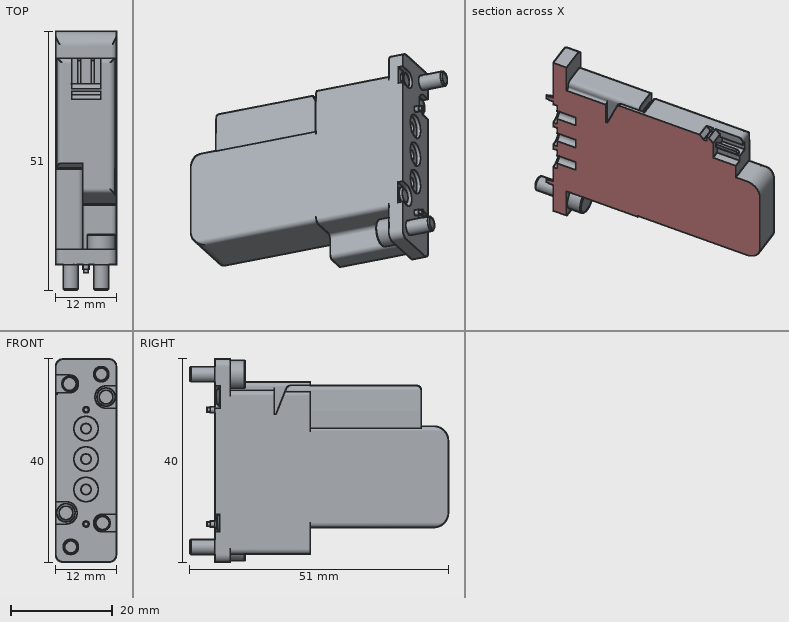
import cadquery as cq

WIDTH = 12.0
HALF_WIDTH = WIDTH / 2
FLANGE_HEIGHT = 40.0
FLANGE_THICKNESS = 3.0
FLANGE_CORNER_RADIUS = 1.5

EDGE_RADIUS = 1.0
BODY_END_Y = 46.0
BODY_TOP_Z = 6.8
BODY_BOTTOM_Z = -13.2
BODY_END_RADIUS = 3.0
SHOULDER_END_Y = 18.8
SHOULDER_LEFT_TOP_Z = 15.5
SHOULDER_RIGHT_TOP_Z = 13.8
SHOULDER_LEFT_BOTTOM_Z = -13.4
SHOULDER_RIGHT_BOTTOM_Z = -18.4
STEP_X = 0.6
STEP_ROOT_RADIUS = 0.4
LOWER_ROOT_RADIUS = 0.9

PLUG_TOP_Z = 14.8
PLUG_EDGE_RADIUS = 1.0
PLUG_END_Y = 40.65
PLUG_RIGHT_START_Y = 12.0
PLUG_TAPER_Z = 9.8
PLUG_HALF_WIDTH = 5.8
PLUG_HALF_WIDTH_TOP = 5.6
PLUG_SLOPE_RUN = 2.3
PLUG_SLOPE_FOOT_Z = 9.1
PLUG_LEFT_BEVEL_RUN = 0.9
PLUG_LEFT_BEVEL_DROP = 1.5
PLUG_GAP = 0.3
PLUG_LEFT_START_Y = SHOULDER_END_Y + PLUG_GAP
PLUG_NECK_HALF_WIDTH = 5.0

LATCH_WIDTH = 5.7
LATCH_LIP_BOTTOM_Z = 13.1
LATCH_UNDERCUT_WIDTH = 7.4
LATCH_FLOOR_Z = 11.2
LATCH_CHANNEL_FLOOR_Z = 9.9
LATCH_BAR_BACK_Y = 35.6
LATCH_BAR_TOP_BACK_Y = 34.6
LATCH_BAR_FRONT_Y = 34.1
LATCH_POCKET_FLOOR_Y = 33.5
LATCH_POCKET_START_Y = 32.6
LATCH_SLOPE_DROP = 1.0
PRONG_X = 1.3
PRONG_WIDTH = 0.6
PRONG_TOP_Z = 12.65
PRONG_THICKNESS = 0.7
PRONG_END_Y = 40.5
PRONG_TIP_CHAMFER = 0.4

SCREW_X = 3.0
SCREW_Z = 17.0
SCREW_DIAMETER = 3.0
SCREW_TIP_Y = -5.0
SCREW_TIP_CHAMFER = 0.3
SCREW_HEAD_DIAMETER = 5.5
SCREW_HEAD_END_Y = 6.0
SCREW_HEAD_CHAMFER = 0.2

PIN_Z = (10.0, -12.5)
PIN_DIAMETER = 1.2
PIN_SHOULDER_Y = -0.9
PIN_TIP_Y = -1.6
PIN_TIP_DIAMETER = 0.9

SOCKET_MIDDLE_Z = 0.3
SOCKET_PITCH = 6.0
SOCKET_RECESS_DIAMETER = 4.8
SOCKET_RECESS_DEPTH = 0.8
SOCKET_BORE_DIAMETER = 2.0
SOCKET_BORE_DEPTH = 5.0

SMALL_SLOTS = ((-1, 3.25, 15.1), (1, 3.25, -12.3))
SMALL_SLOT_WIDTH = 3.5
SMALL_SLOT_DEPTH = 1.0
SMALL_STUD_DIAMETER = 3.0
SMALL_STUD_CHAMFER = 0.2
SMALL_STUD_FACE_Y = 0.4
LARGE_SLOTS = ((1, 3.95, 12.5), (-1, 3.95, -10.3))
LARGE_SLOT_WIDTH = 4.4
LARGE_SLOT_DEPTH = 1.1
LARGE_STUD_DIAMETER = 3.6
LARGE_STUD_CHAMFER = 0.45
LARGE_STUD_FACE_Y = 0.4


def box(x0, x1, y0, y1, z0, z1):
    """Axis-aligned box between the given limits."""
    return cq.Workplane("XY").box(x1 - x0, y1 - y0, z1 - z0, centered=False).translate((x0, y0, z0))


def cylinder(x, z, diameter, y0, y1):
    """Cylinder along Y from y0 to y1 (y0 < y1)."""
    return cq.Workplane("XZ", origin=(x, y0, z)).circle(diameter / 2).extrude(-(y1 - y0))


def make_flange():
    plate = box(-HALF_WIDTH, HALF_WIDTH, 0, FLANGE_THICKNESS, -FLANGE_HEIGHT / 2, FLANGE_HEIGHT / 2)
    return plate.edges("|Y").fillet(FLANGE_CORNER_RADIUS)


def make_body():
    """Long flat body; its rounded end runs straight across the width."""
    limits = (FLANGE_THICKNESS, BODY_END_Y, BODY_BOTTOM_Z, BODY_TOP_Z)
    rounded_edges = box(-HALF_WIDTH, HALF_WIDTH, *limits).edges("|Y").fillet(EDGE_RADIUS)
    rounded_end = box(-HALF_WIDTH, HALF_WIDTH, *limits).edges(">Y and |X").fillet(BODY_END_RADIUS)
    return rounded_edges.intersect(rounded_end)


def make_shoulder():
    """Stepped block behind the flange: high on the left, low on the right."""
    outline = [
        (-HALF_WIDTH, SHOULDER_LEFT_TOP_Z),
        (-STEP_X, SHOULDER_LEFT_TOP_Z),
        (-STEP_X, SHOULDER_RIGHT_TOP_Z),
        (HALF_WIDTH, SHOULDER_RIGHT_TOP_Z),
        (HALF_WIDTH, SHOULDER_RIGHT_BOTTOM_Z),
        (STEP_X, SHOULDER_RIGHT_BOTTOM_Z),
        (STEP_X, SHOULDER_LEFT_BOTTOM_Z),
        (-HALF_WIDTH, SHOULDER_LEFT_BOTTOM_Z),
    ]
    length = SHOULDER_END_Y - FLANGE_THICKNESS
    block = cq.Workplane("XZ", origin=(0, FLANGE_THICKNESS, 0)).polyline(outline).close().extrude(-length)

    def edge_at(x, z):
        return cq.selectors.NearestToPointSelector((x, FLANGE_THICKNESS + length / 2, z))

    block = block.edges("|Y").edges(edge_at(-STEP_X, SHOULDER_RIGHT_TOP_Z)).fillet(STEP_ROOT_RADIUS)
    block = block.edges("|Y").edges(edge_at(STEP_X, SHOULDER_LEFT_BOTTOM_Z)).fillet(LOWER_ROOT_RADIUS)
    outer_corners = outline[:2] + outline[3:6] + outline[7:]
    for x, z in outer_corners:
        block = block.edges("|Y").edges(edge_at(x, z)).fillet(EDGE_RADIUS)
    return block.cut(make_front_gap())


def make_front_gap():
    """Space in the right half of the shoulder in front of the sloped plug face."""
    side = [
        (PLUG_RIGHT_START_Y - PLUG_GAP, PLUG_SLOPE_FOOT_Z),
        (PLUG_RIGHT_START_Y, PLUG_SLOPE_FOOT_Z),
        (PLUG_RIGHT_START_Y + PLUG_SLOPE_RUN, PLUG_TOP_Z),
        (PLUG_RIGHT_START_Y - PLUG_GAP, PLUG_TOP_Z),
    ]
    gap = cq.Workplane("YZ", origin=(-STEP_X, 0, 0)).polyline(side).close()
    return gap.extrude(HALF_WIDTH + STEP_X)


def make_plug():
    """Tapered plug; its front starts further back on the left half."""
    base_z = BODY_TOP_Z - EDGE_RADIUS
    section = [
        (-PLUG_HALF_WIDTH, base_z),
        (-PLUG_HALF_WIDTH, PLUG_TAPER_Z),
        (-PLUG_HALF_WIDTH_TOP, PLUG_TOP_Z),
        (PLUG_HALF_WIDTH_TOP, PLUG_TOP_Z),
        (PLUG_HALF_WIDTH, PLUG_TAPER_Z),
        (PLUG_HALF_WIDTH, base_z),
    ]
    length = PLUG_END_Y - FLANGE_THICKNESS
    bar = cq.Workplane("XZ", origin=(0, FLANGE_THICKNESS, 0)).polyline(section).close().extrude(-length)
    bar = bar.edges("|Y and >Z").fillet(PLUG_EDGE_RADIUS)

    left_side = [
        (PLUG_LEFT_START_Y, base_z),
        (PLUG_END_Y, base_z),
        (PLUG_END_Y, PLUG_TOP_Z),
        (PLUG_LEFT_START_Y + PLUG_LEFT_BEVEL_RUN, PLUG_TOP_Z),
        (PLUG_LEFT_START_Y, PLUG_TOP_Z - PLUG_LEFT_BEVEL_DROP),
    ]
    left = cq.Workplane("YZ", origin=(-HALF_WIDTH, 0, 0)).polyline(left_side).close()
    left = left.extrude(HALF_WIDTH - STEP_X).edges("|X and >Y and >Z").fillet(PLUG_EDGE_RADIUS)

    right_side = [
        (PLUG_RIGHT_START_Y, base_z),
        (PLUG_END_Y, base_z),
        (PLUG_END_Y, PLUG_TOP_Z),
        (PLUG_RIGHT_START_Y + PLUG_SLOPE_RUN, PLUG_TOP_Z),
        (PLUG_RIGHT_START_Y, PLUG_SLOPE_FOOT_Z),
    ]
    right = cq.Workplane("YZ", origin=(-STEP_X, 0, 0)).polyline(right_side).close()
    right = right.extrude(HALF_WIDTH + STEP_X).edges("|X and >Z").fillet(PLUG_EDGE_RADIUS)
    neck_top_z = PLUG_TOP_Z - PLUG_LEFT_BEVEL_DROP
    neck = box(-PLUG_NECK_HALF_WIDTH, 0, SHOULDER_END_Y, PLUG_LEFT_START_Y, base_z, neck_top_z)
    return bar.intersect(left.union(right)).union(neck)


def make_latch_recess():
    """Undercut recess open at the back, a sloped cross bar and a small sloped pocket."""
    drop_z = PLUG_TOP_Z - LATCH_SLOPE_DROP
    slot = [
        (PLUG_END_Y, PLUG_TOP_Z),
        (LATCH_BAR_TOP_BACK_Y, PLUG_TOP_Z),
        (LATCH_BAR_BACK_Y, drop_z),
        (LATCH_BAR_BACK_Y, LATCH_FLOOR_Z),
        (PLUG_END_Y, LATCH_FLOOR_Z),
    ]
    pocket = [
        (LATCH_POCKET_START_Y, PLUG_TOP_Z),
        (LATCH_POCKET_FLOOR_Y, drop_z),
        (LATCH_BAR_FRONT_Y, drop_z),
        (LATCH_BAR_FRONT_Y, PLUG_TOP_Z),
    ]
    plane = cq.Workplane("YZ", origin=(-LATCH_WIDTH / 2, 0, 0))
    recess = plane.polyline(slot).close().extrude(LATCH_WIDTH)
    recess = recess.union(plane.polyline(pocket).close().extrude(LATCH_WIDTH))
    undercut_x = LATCH_UNDERCUT_WIDTH / 2
    recess = recess.union(
        box(-undercut_x, undercut_x, LATCH_BAR_BACK_Y, PLUG_END_Y, LATCH_FLOOR_Z, LATCH_LIP_BOTTOM_Z)
    )
    channel_x = PRONG_X + PRONG_WIDTH / 2
    recess = recess.union(
        box(-channel_x, channel_x, LATCH_BAR_BACK_Y, PLUG_END_Y, LATCH_CHANNEL_FLOOR_Z, LATCH_FLOOR_Z)
    )
    for x in (-PRONG_X, PRONG_X):
        recess = recess.cut(make_prong(x))
    return recess


def make_prong(x):
    """Latch finger reaching back from the cross bar, with a bevelled tip."""
    half = PRONG_WIDTH / 2
    bottom_z = PRONG_TOP_Z - PRONG_THICKNESS
    prong = box(x - half, x + half, LATCH_BAR_BACK_Y, PRONG_END_Y, bottom_z, PRONG_TOP_Z)
    return prong.edges("|X and >Y and >Z").chamfer(PRONG_TIP_CHAMFER)


def make_screw(x, z):
    shank = cylinder(x, z, SCREW_DIAMETER, SCREW_TIP_Y, FLANGE_THICKNESS)
    shank = shank.faces("<Y").chamfer(SCREW_TIP_CHAMFER)
    head = cylinder(x, z, SCREW_HEAD_DIAMETER, FLANGE_THICKNESS, SCREW_HEAD_END_Y)
    return shank.union(head.faces(">Y").chamfer(SCREW_HEAD_CHAMFER))


def make_pin(z):
    tip = cylinder(0, z, PIN_TIP_DIAMETER, PIN_TIP_Y, FLANGE_THICKNESS)
    return tip.union(cylinder(0, z, PIN_DIAMETER, PIN_SHOULDER_Y, FLANGE_THICKNESS))


def make_socket(z):
    recess = cylinder(0, z, SOCKET_RECESS_DIAMETER, 0, SOCKET_RECESS_DEPTH)
    return recess.union(cylinder(0, z, SOCKET_BORE_DIAMETER, 0, SOCKET_BORE_DEPTH))


def make_side_slot(side, x, z, width, depth):
    """Slot with a round inner end, open to the given side of the flange."""
    centre_x = side * x
    edge_x = side * HALF_WIDTH
    run = box(min(centre_x, edge_x), max(centre_x, edge_x), 0, depth, z - width / 2, z + width / 2)
    return run.union(cylinder(centre_x, z, width, 0, depth))


def make_stud(side, x, z, diameter, face_y, chamfer):
    return cylinder(side * x, z, diameter, face_y, FLANGE_THICKNESS).faces("<Y").chamfer(chamfer)


result = make_flange().union(make_body()).union(make_shoulder()).union(make_plug())
result = result.cut(make_latch_recess())

for row in (-1, 0, 1):
    result = result.cut(make_socket(SOCKET_MIDDLE_Z + row * SOCKET_PITCH))

for slot in SMALL_SLOTS:
    result = result.cut(make_side_slot(*slot, SMALL_SLOT_WIDTH, SMALL_SLOT_DEPTH))
    result = result.union(make_stud(*slot, SMALL_STUD_DIAMETER, SMALL_STUD_FACE_Y, SMALL_STUD_CHAMFER))

for slot in LARGE_SLOTS:
    result = result.cut(make_side_slot(*slot, LARGE_SLOT_WIDTH, LARGE_SLOT_DEPTH))
    result = result.union(make_stud(*slot, LARGE_STUD_DIAMETER, LARGE_STUD_FACE_Y, LARGE_STUD_CHAMFER))

for sign in (-1, 1):
    result = result.union(make_screw(sign * SCREW_X, sign * SCREW_Z))

for pin_z in PIN_Z:
    result = result.union(make_pin(pin_z))